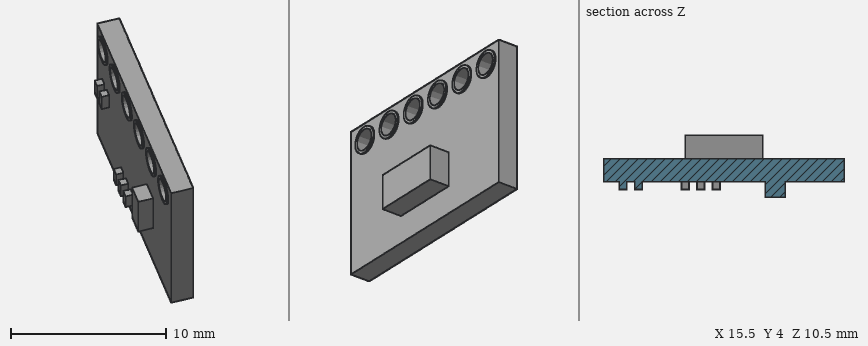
import cadquery as cq

board_width = 15.5
board_thickness = 1.5
board_height = 10.5

hole_count = 6
hole_pitch = 2.54
hole_edge_distance = hole_pitch / 2
hole_diameter = 1.5
pad_diameter = 1.9
pad_height = 0.1

connector_width = 5.0
connector_depth = 1.5
connector_height = 2.5
connector_bottom = 2.0

chip_width = 1.3
chip_depth = 1.0
chip_height = 2.85
chip_left = 10.4
chip_bottom = 3.175

component_width = 0.5
component_depth = 0.5
component_pitch = 1.0

upper_row_count = 2
upper_row_left = 1.0
upper_row_bottom = 5.08
upper_row_height = 1.17

lower_row_count = 3
lower_row_left = 5.0
lower_row_bottom = 0.94
lower_row_height = 1.03


def block(left, front, bottom, width, depth, height):
    """Box placed by its lower left front corner."""
    return cq.Workplane("XY").box(width, depth, height, centered=False).translate((left, front, bottom))


def front_block(left, bottom, width, depth, height):
    """Box standing out of the front face of the board."""
    return block(left, -depth, bottom, width, depth, height)


def header_cylinders(diameter):
    """Row of cylinders at the header holes, as long as the board and both pads."""
    centres = [
        (hole_edge_distance + index * hole_pitch, board_height - hole_edge_distance)
        for index in range(hole_count)
    ]
    return (
        cq.Workplane("XZ", origin=(0, board_thickness + pad_height, 0))
        .pushPoints(centres)
        .circle(diameter / 2)
        .extrude(board_thickness + 2 * pad_height)
    )


def add_component_row(body, count, left, bottom, height):
    """Join a row of equal small components to the front face."""
    for index in range(count):
        component_left = left + index * component_pitch
        body = body.union(front_block(component_left, bottom, component_width, component_depth, height))
    return body


result = block(0, 0, 0, board_width, board_thickness, board_height)
result = result.union(header_cylinders(pad_diameter))
result = result.cut(header_cylinders(hole_diameter))

connector_left = (board_width - connector_width) / 2
connector = block(
    connector_left,
    board_thickness,
    connector_bottom,
    connector_width,
    connector_depth,
    connector_height,
)
result = result.union(connector)
result = result.union(front_block(chip_left, chip_bottom, chip_width, chip_depth, chip_height))

result = add_component_row(result, upper_row_count, upper_row_left, upper_row_bottom, upper_row_height)
result = add_component_row(result, lower_row_count, lower_row_left, lower_row_bottom, lower_row_height)